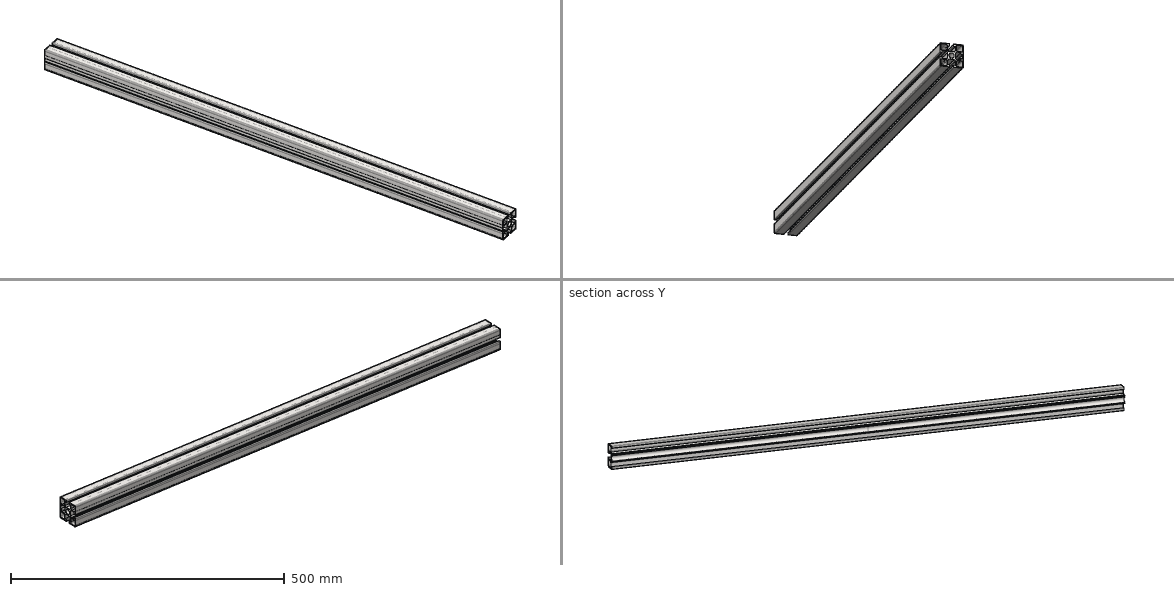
import cadquery as cq

length = 1000.0
side = 45.0
half_side = side / 2
corner_radius = 2.5

opening_width = 8.0
lip_radius = 0.5
lip_thickness = 4.5
lip_bottom = half_side - lip_thickness
slot_width = 15.0
slot_floor = 7.5
floor_width = 10.0
slot_taper = (slot_width - floor_width) / 2

skin_edge_thickness = 0.5
skin_middle_thickness = 1.5
skin_middle_width = 6.0

outer_wall = 2.0
slot_wall = 1.5
hollow_chamfer = 2.0
hollow_radius = 0.8

bore_diameter = 10.0


def extrude_outline(points):
    """Full-length prism from a closed (Y, Z) outline, centred along X."""
    return cq.Workplane("YZ").polyline(points).close().extrude(length / 2, both=True)


def slot_head():
    """Inner, wide part of a T-slot towards +Y."""
    head = slot_width / 2
    floor = floor_width / 2
    return extrude_outline([
        (slot_floor, -floor),
        (slot_floor + slot_taper, -head),
        (lip_bottom, -head),
        (lip_bottom, head),
        (slot_floor + slot_taper, head),
        (slot_floor, floor),
    ])


def open_neck():
    """Opening from a slot head through the +Y face, between lips with rounded edges."""
    neck = opening_width / 2
    flare = neck + lip_radius
    return (
        cq.Workplane("YZ")
        .moveTo(half_side, -flare)
        .radiusArc((half_side - lip_radius, -neck), -lip_radius)
        .lineTo(lip_bottom + lip_radius, -neck)
        .radiusArc((lip_bottom, -flare), -lip_radius)
        .lineTo(lip_bottom, flare)
        .radiusArc((lip_bottom + lip_radius, neck), -lip_radius)
        .lineTo(half_side - lip_radius, neck)
        .radiusArc((half_side, flare), -lip_radius)
        .close()
        .extrude(length / 2, both=True)
    )


def closed_neck():
    """Neck from a slot head towards +Y, stopping at the skin, which is thicker along its middle."""
    neck = opening_width / 2
    flare = neck + lip_radius
    thin_end = half_side - skin_edge_thickness
    thick_end = half_side - skin_middle_thickness
    middle = skin_middle_width / 2
    return (
        cq.Workplane("YZ")
        .moveTo(thick_end, -middle)
        .lineTo(thin_end, -neck)
        .lineTo(lip_bottom + lip_radius, -neck)
        .radiusArc((lip_bottom, -flare), -lip_radius)
        .lineTo(lip_bottom, flare)
        .radiusArc((lip_bottom + lip_radius, neck), -lip_radius)
        .lineTo(thin_end, neck)
        .lineTo(thick_end, middle)
        .close()
        .extrude(length / 2, both=True)
    )


def corner_hollow():
    """Hollow in the +Y +Z corner, with rounded corners."""
    inner = slot_width / 2 + slot_wall
    outer = half_side - outer_wall
    hollow = extrude_outline([
        (inner + hollow_chamfer, inner),
        (outer, inner),
        (outer, outer),
        (inner, outer),
        (inner, inner + hollow_chamfer),
    ])
    return hollow.edges("|X").fillet(hollow_radius)


def turned(shape, angle):
    """The shape turned about the X axis; positive angles turn +Y towards +Z."""
    return shape.rotate((0, 0, 0), (1, 0, 0), angle)


open_neck_angles = (0, 90, 270)
closed_neck_angle = 180
quarter_turns = (0, 90, 180, 270)

profile = cq.Workplane("XY").box(length, side, side).edges("|X").fillet(corner_radius)
bore = cq.Workplane("YZ").circle(bore_diameter / 2).extrude(length / 2, both=True)
profile = profile.cut(bore)

for angle in quarter_turns:
    profile = profile.cut(turned(slot_head(), angle))
    profile = profile.cut(turned(corner_hollow(), angle))

for angle in open_neck_angles:
    profile = profile.cut(turned(open_neck(), angle))
profile = profile.cut(turned(closed_neck(), closed_neck_angle))

result = profile